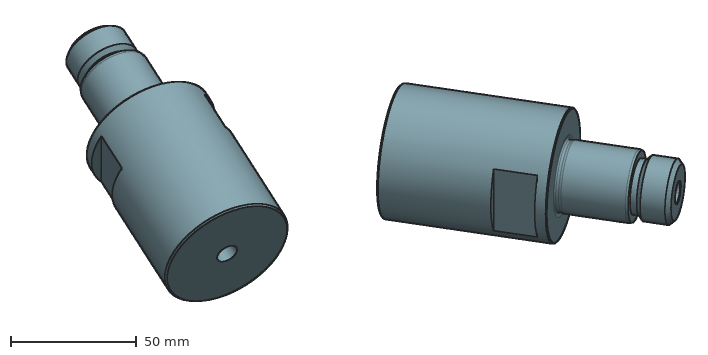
import cadquery as cq

total_length = 117.0
head_radius = 27.5
head_length = 70.0
head_start = total_length - head_length
head_front_chamfer = 0.5
head_rear_chamfer = 0.7

tip_radius = 13.5
tip_chamfer = 2.0
tip_end = 12.2
neck_radius = 11.5
neck_start = tip_end + (tip_radius - neck_radius)

shank_start = 16.8
shank_radius = 15.0
lead_in_length = 1.2
lead_in_depth = 0.4

undercut_start = 44.5
undercut_depth = 0.29
undercut_ramp = 1.0
undercut_radius = shank_radius - undercut_depth
undercut_fillet = 0.6
face_relief_radius = 16.7
face_relief_depth = 0.2
relief_floor = head_start + face_relief_depth

bore_radius = 4.5
bore_chamfer = 0.4

flat_start = head_start + 4.9
flat_width = 18.0
flat_distance = 23.0


def make_body():
    """Turned body, revolved about the X axis."""
    profile = (
        cq.Workplane("XY")
        .moveTo(0, 0)
        .lineTo(0, tip_radius - tip_chamfer)
        .lineTo(tip_chamfer, tip_radius)
        .lineTo(tip_end, tip_radius)
        .lineTo(neck_start, neck_radius)
        .lineTo(shank_start, neck_radius)
        .lineTo(shank_start, shank_radius - lead_in_depth)
        .lineTo(shank_start + lead_in_length, shank_radius)
        .lineTo(undercut_start, shank_radius)
        .lineTo(undercut_start + undercut_ramp, undercut_radius)
        .lineTo(relief_floor - undercut_fillet, undercut_radius)
        .radiusArc((relief_floor, undercut_radius + undercut_fillet), -undercut_fillet)
        .lineTo(head_start, face_relief_radius)
        .lineTo(head_start, head_radius - head_front_chamfer)
        .lineTo(head_start + head_front_chamfer, head_radius)
        .lineTo(total_length - head_rear_chamfer, head_radius)
        .lineTo(total_length, head_radius - head_rear_chamfer)
        .lineTo(total_length, 0)
        .close()
    )
    return profile.revolve(360, (0, 0, 0), (1, 0, 0))


def cut_bore(body):
    """Through bore, chamfered at the spigot tip."""
    bored = body.cut(cq.Workplane("YZ").circle(bore_radius).extrude(total_length))
    tip_rim = bored.faces("<X").edges(cq.selectors.RadiusNthSelector(0))
    return tip_rim.chamfer(bore_chamfer)


def cut_wrench_flats(body):
    """Two parallel flats on the -Y and +Y sides of the head."""
    for side in (-1, 1):
        cutter = (
            cq.Workplane("XY")
            .box(flat_width, head_radius, 2 * head_radius)
            .translate((flat_start + flat_width / 2, side * (flat_distance + head_radius / 2), 0))
        )
        body = body.cut(cutter)
    return body


result = cut_wrench_flats(cut_bore(make_body()))